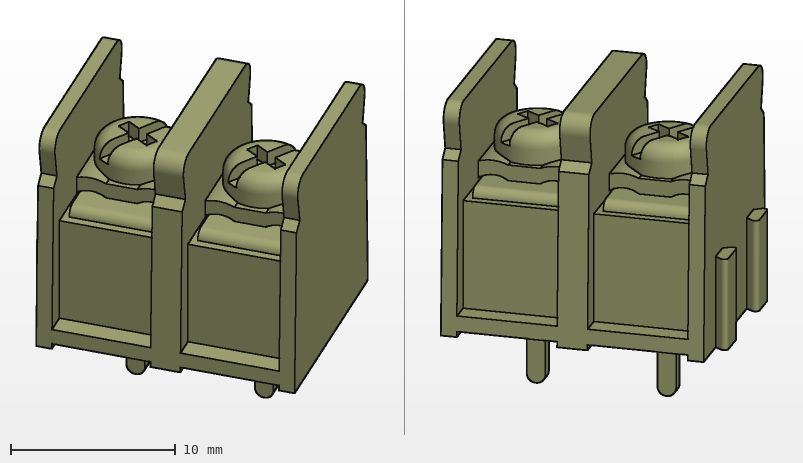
import cadquery as cq


outer_wall = 1.0
middle_wall = 1.92
bay_width = 6.34
pole_pitch = bay_width + middle_wall
pole_centers = [-pole_pitch / 2, pole_pitch / 2]
housing_width = 2 * outer_wall + middle_wall + 2 * bay_width
housing_height = 14.81
foot_half_depth = 6.85
shoulder_half_depth = 6.5
shoulder_height = 11.3
neck_half_depth = 5.88
neck_height = 11.85
top_corner_half_depth = 6.5
top_corner_radius = 1.0
floor_underside = 0.35
floor_top = 1.37
block_top = 8.35
block_depth = 10.85

rail_height = 5.9
rail_offset = 3.45
rail_projection = 0.83
rail_root_half_width = 0.75
rail_corner_half_width = 1.33
rail_corner_radius = 0.25

strip_width = 5.48
strip_depth = 9.66
strip_thickness = 0.63
strip_rooting = 0.99
clamp_width = 5.8
clamp_depth = 5.98
clamp_flat_half_width = 1.0
clamp_thickness = 1.0
clamp_edge_height = 1.09
clamp_crest_height = 1.23
clamp_arch_rise = 0.3

head_radius = 2.63
head_edge_radius = 1.0
head_edge_height = 1.03
slot_width = 0.8
slot_depth = head_edge_radius
slot_angle = 56.5
short_slot_length = 2.8

pin_length = 4.99
pin_width = 1.19
pin_thickness = 0.81

strip_top = block_top + strip_thickness
clamp_top = strip_top + clamp_thickness
head_height = head_edge_height + head_edge_radius


def mirrored_profile(points, plane):
    """Closed outline from its positive half, given from bottom to top."""
    other_half = [(-u, v) for u, v in reversed(points)]
    return cq.Workplane(plane).polyline(points + other_half).close()


def block_at(center_x, width, depth, bottom, top):
    """Box centred on Y = 0 between two heights."""
    return (
        cq.Workplane("XY")
        .box(width, depth, top - bottom, centered=(True, True, False))
        .translate((center_x, 0, bottom))
    )


def make_housing():
    """Side-wall profile across the full width, opened into one bay per pole."""
    half_profile = [
        (foot_half_depth, 0),
        (shoulder_half_depth, shoulder_height),
        (neck_half_depth, neck_height),
        (top_corner_half_depth, housing_height),
    ]
    body = (
        mirrored_profile(half_profile, "YZ")
        .extrude(housing_width / 2, both=True)
        .faces(">Z")
        .edges("|X")
        .fillet(top_corner_radius)
    )
    full_depth = 2 * foot_half_depth
    for x in pole_centers:
        bay = block_at(x, bay_width, full_depth, floor_top, housing_height)
        block = block_at(x, bay_width, block_depth, floor_top, block_top)
        underside_gap = block_at(x, bay_width, full_depth, 0, floor_underside)
        body = body.cut(bay.cut(block)).cut(underside_gap)
    return body


def make_rail(center_y):
    """Upright dovetail rail that widens away from the -X wall."""
    wall_x = -housing_width / 2
    outer_x = wall_x - rail_projection
    return (
        cq.Workplane("XY")
        .polyline([
            (wall_x, -rail_root_half_width),
            (wall_x, rail_root_half_width),
            (outer_x, rail_corner_half_width),
            (outer_x, -rail_corner_half_width),
        ])
        .close()
        .extrude(rail_height)
        .faces("<X")
        .edges("|Z")
        .fillet(rail_corner_radius)
        .translate((0, center_y, 0))
    )


def make_strip():
    """Contact strip with both ends bent down into the housing block."""
    return (
        block_at(0, strip_width, strip_depth, block_top - strip_rooting, strip_top)
        .faces(">Z")
        .edges("|X")
        .fillet(strip_thickness)
    )


def make_clamp():
    """Clamp plate, flat under the screw and arched over a wire on either side."""
    edge = clamp_width / 2
    flat = clamp_flat_half_width
    crest = (edge + flat) / 2
    return (
        cq.Workplane("XZ")
        .moveTo(-flat, 0)
        .lineTo(flat, 0)
        .threePointArc((crest, clamp_arch_rise), (edge, 0))
        .lineTo(edge, clamp_edge_height)
        .threePointArc((crest, clamp_crest_height), (flat, clamp_thickness))
        .lineTo(-flat, clamp_thickness)
        .threePointArc((-crest, clamp_crest_height), (-edge, clamp_edge_height))
        .lineTo(-edge, 0)
        .threePointArc((-crest, clamp_arch_rise), (-flat, 0))
        .close()
        .extrude(clamp_depth / 2, both=True)
        .translate((0, 0, strip_top))
    )


def make_screw_head():
    """Round-edged head with a full-width slot crossed by a shorter one."""
    head = (
        cq.Workplane("XY")
        .circle(head_radius)
        .extrude(head_height)
        .faces(">Z")
        .edges()
        .fillet(head_edge_radius)
    )
    slot_floor = head_height - slot_depth
    long_slot = block_at(0, 2 * head_radius, slot_width, slot_floor, head_height)
    short_slot = block_at(0, slot_width, short_slot_length, slot_floor, head_height)
    slots = long_slot.union(short_slot).rotate((0, 0, 0), (0, 0, 1), slot_angle)
    return head.cut(slots).translate((0, 0, clamp_top))


def make_pin():
    """Flat pin with a fully rounded tip, rooted in the housing floor."""
    half_width = pin_width / 2
    tip_start = half_width - pin_length
    return (
        cq.Workplane("XZ")
        .moveTo(-half_width, floor_top)
        .lineTo(-half_width, tip_start)
        .threePointArc((0, -pin_length), (half_width, tip_start))
        .lineTo(half_width, floor_top)
        .close()
        .extrude(pin_thickness / 2, both=True)
    )


result = make_housing()
for y in (-rail_offset, rail_offset):
    result = result.union(make_rail(y))

pole = make_strip().union(make_clamp()).union(make_screw_head()).union(make_pin())
for x in pole_centers:
    result = result.union(pole.translate((x, 0, 0)))